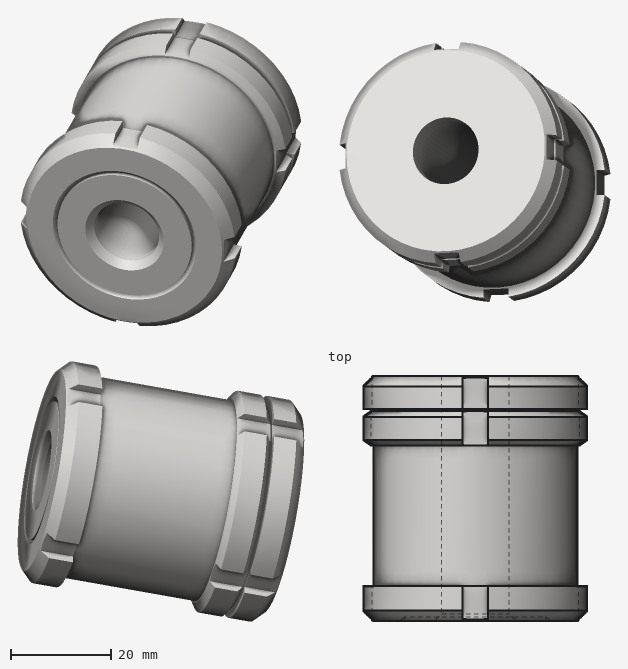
import cadquery as cq

length = 49.0
ring_diameter = 45.05
body_diameter = 40.8
neck_diameter = 28.35
core_diameter = 28.1
bore_diameter = 13.5

front_ring_width = 7.0
lock_ring_start = 35.05
lock_ring_end = 42.0
back_ring_width = 6.65

lock_chamfer_length = 1.2
lock_shoulder_radius = 20.82
bore_mouth_diameter = 16.4
groove_mouth_diameter = 30.05

slot_width = 5.1
slot_floor_radius = 20.7
slot_count = 4

ring_radius = ring_diameter / 2
body_radius = body_diameter / 2
bore_radius = bore_diameter / 2
end_chamfer = ring_radius - body_radius
back_ring_start = length - back_ring_width


def revolve_profile(points):
    """Turn a closed (radius, y) outline about the Y axis."""
    return cq.Workplane("XY").polyline(points).close().revolve(360, (0, 0, 0), (0, 1, 0))


def make_turned_body():
    neck_radius = neck_diameter / 2
    return revolve_profile([
        (bore_radius, 0),
        (body_radius, 0),
        (ring_radius, end_chamfer),
        (ring_radius, front_ring_width),
        (body_radius, front_ring_width),
        (body_radius, lock_ring_start),
        (lock_shoulder_radius, lock_ring_start),
        (ring_radius, lock_ring_start + lock_chamfer_length),
        (ring_radius, lock_ring_end - lock_chamfer_length),
        (lock_shoulder_radius, lock_ring_end),
        (neck_radius, lock_ring_end),
        (neck_radius, back_ring_start),
        (ring_radius, back_ring_start),
        (ring_radius, length - end_chamfer),
        (body_radius, length),
        (bore_radius, length),
    ])


def make_bore_chamfer():
    mouth_radius = bore_mouth_diameter / 2
    return revolve_profile([
        (bore_radius, 0),
        (mouth_radius, 0),
        (bore_radius, mouth_radius - bore_radius),
    ])


def make_core_groove():
    """Groove around the core: upright inner wall, flat floor, 45 degree outer wall."""
    mouth_radius = groove_mouth_diameter / 2
    floor_radius = neck_diameter / 2
    depth = mouth_radius - floor_radius
    return revolve_profile([
        (core_diameter / 2, 0),
        (mouth_radius, 0),
        (floor_radius, depth),
        (core_diameter / 2, depth),
    ])


def make_slot(angle, floor_radius, start, end):
    """Flat-floored slot along Y from start to end; its floor lies outside the body."""
    return (
        cq.Workplane("XY")
        .box(slot_width, end - start, ring_radius - floor_radius, centered=(True, False, False))
        .translate((0, start, floor_radius))
        .rotate((0, 0, 0), (0, 1, 0), angle)
    )


result = make_turned_body().cut(make_bore_chamfer()).cut(make_core_groove())
for index in range(slot_count):
    slot_angle = index * 360 / slot_count
    result = result.cut(make_slot(slot_angle, slot_floor_radius, 0, front_ring_width))
    result = result.cut(make_slot(slot_angle, lock_shoulder_radius, lock_ring_start, lock_ring_end))
    result = result.cut(make_slot(slot_angle, slot_floor_radius, back_ring_start, length))